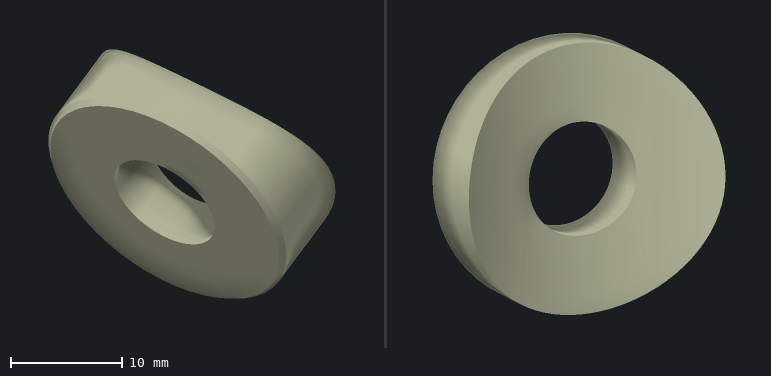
import cadquery as cq

outer_diameter = 25.0
bore_diameter = 10.5
center_thickness = 5.0
tube_diameter = 42.5
front_chamfer = 0.5

outer_radius = outer_diameter / 2
tube_radius = tube_diameter / 2
tube_axis_y = center_thickness + tube_radius
blank_length = tube_axis_y


def make_blank():
    """Cylinder along +Y with its flat face at Y = 0, chamfered there and bored through."""
    disc = cq.Workplane("XZ").circle(outer_radius).extrude(-blank_length)
    disc = disc.faces("<Y").chamfer(front_chamfer)
    bore = cq.Workplane("XZ").circle(bore_diameter / 2).extrude(-blank_length)
    return disc.cut(bore)


def make_tube():
    """Cylinder along Z whose surface forms the concave back of the washer."""
    return (
        cq.Workplane("XY")
        .center(0, tube_axis_y)
        .circle(tube_radius)
        .extrude(outer_radius, both=True)
    )


result = make_blank().cut(make_tube())